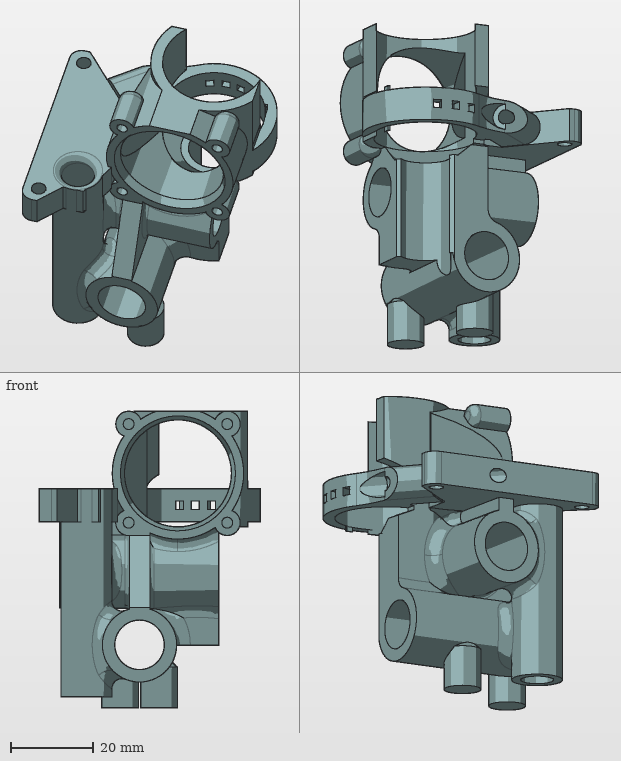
import cadquery as cq
import math

TOP_Z = 72.25
THROUGH = 60.0

PLATE_BOTTOM = 45.3
PLATE_TOP = 53.4
PLATE_THICKNESS = PLATE_TOP - PLATE_BOTTOM
PLATE_LENGTH = 48.85
PLATE_CORNER_RADIUS = 3.0
PLATE_HOLE_INSET = 3.8
PLATE_HOLE_DIAMETER = 3.5
PLATE_STEP_Y = 35.4
PLATE_FRONT_Y = 5.8
PLATE_INNER_X = 19.1
PLATE_OVERLAP = 1.0
PLATE_POST_REACH = 3.0

ROD_DIAMETER = 12.0
ROD_TUBE_DIAMETER = 18.1
TUBE_RADIUS = ROD_TUBE_DIAMETER / 2
ROD_TUBE_START = 5.0
ROD_CENTRE = 24.45
LOW_ROD_Z = 15.35
HIGH_ROD_Z = 33.3

POST_X = 11.5
POST_Y = 11.85
POST_DIAMETER = 12.4
POST_BORE = 8.0
POST_BOTTOM = 2.7
POST_MOUTH_RADIUS = 2.0

BARREL_X = 38.49
BARREL_Y = 38.51
BARREL_RADIUS = 15.4
BARREL_BORE = 25.0
BARREL_BOTTOM = 15.2
WALL = BARREL_RADIUS - BARREL_BORE / 2
UPPER_CUT_X = 12.3
UPPER_CUT_Y = 8.35
LOWER_CUT = 5.25
ROD_TUBE_END = BARREL_X + LOWER_CUT
SEAT_DIAMETER = 16.2
SEAT_BORE = 12.4
FUNNEL_TOP = 44.1
FUNNEL_DEPTH = (BARREL_BORE - SEAT_DIAMETER) / 2
SHELL_SLOPE_Y = 39.8
SHELL_SLOPE_TOP = 56.8
RIM_SLOPE_Y = 39.5
RIM_TOP = 44.4
RIM_LOW_Y = 43.8
RIM_LOW = 42.7
ANCHOR_TOP = 55.3
ANCHOR_END_X = 50.8
ANCHOR_END_Y = 42.7

HOUSING_X = 33.8
HOUSING_Z = 57.1
HOUSING_RADIUS = 16.0
HOUSING_FRONT = 15.0
HOUSING_BACK = 35.1
HOUSING_BORE = 26.0
HOUSING_MOUTH = 28.0
MOUTH_DEPTH = 2.0
FLANK_START = (17.6, 17.0)
FLANK_ANGLE = 16.8
SCREW_OFFSET = 12.0
SCREW_BOSS_DIAMETER = 6.3
SCREW_HOLE_DIAMETER = 2.65
SCREW_HOLE_DEPTH = 8.0
SCREW_BOSS_LENGTH = 10.4
SCREW_BOSS_ROUND = 1.9
SCREW_CENTRES = [
    (HOUSING_X + side * SCREW_OFFSET, HOUSING_Z + level * SCREW_OFFSET)
    for side in (-1, 1)
    for level in (-1, 1)
]

CLAMP_ANGLE = 40.8
CLAMP_SLOPE = math.tan(math.radians(CLAMP_ANGLE))
CLAMP_COSINE = math.cos(math.radians(CLAMP_ANGLE))
CLAMP_AXIS_Y = 29.8
CLAMP_Z = (PLATE_BOTTOM + PLATE_TOP) / 2
SLIT_NEAR = 15.75
SLIT_FAR = 16.3
LUG_INNER = 6.0
LUG_END = 32.0
STRAP_BLEND_START = (22.1, PLATE_LENGTH)
STRAP_BLEND_MIDDLE = (26.2, 49.85)
STRAP_BLEND_END_X = -7.9
CLAMP_HOLE_DIAMETER = 3.5
CLAMP_HOLE_START = -5.0
CLAMP_HOLE_END = 40.0
CLAMP_HEAD_DIAMETER = 6.3
CLAMP_HEAD_START = 29.0
CLAMP_HEAD_END = 45.0
WINDOW_SIZE = 2.0
WINDOW_PITCH = 18.0
WINDOW_TURN = 2.0
WINDOW_INNER = 10.0
WINDOW_OUTER = 18.0

PEG_DIAMETER = 9.0
PEG_HEIGHT = 9.9
PEG_TIP = 2.0
PEG_CENTRES = [(29.2, 9.75), (19.7, 28.1)]

FRONT_RIB_WIDTH = 5.0
FRONT_RIB_TOP = 45.0
FRONT_RIB_SHOULDER = HOUSING_Z - SCREW_OFFSET - SCREW_BOSS_DIAMETER / 2
SIDE_RIB_WIDTH = 4.1
RIB_END = 24.0

ROD_BLEND = 6.0
POST_BLEND = 2.5
BARREL_BLEND = 3.0
HOUSING_BLEND = 2.0
RIB_BLEND = 1.0


def cylinder_x(radius, x0, x1, y, z):
    return cq.Workplane("YZ", origin=(x0, y, z)).circle(radius).extrude(x1 - x0)


def cylinder_y(radius, y0, y1, x, z):
    return cq.Workplane("XZ", origin=(x, y0, z)).circle(radius).extrude(y0 - y1)


def cylinder_z(radius, z0, z1, x, y):
    return cq.Workplane("XY", origin=(x, y, z0)).circle(radius).extrude(z1 - z0)


def block(x0, x1, y0, y1, z0, z1):
    return cq.Workplane("XY").box(x1 - x0, y1 - y0, z1 - z0, centered=False).translate((x0, y0, z0))


def flank_side(offset):
    """Space on the +X side of the slanted flank, moved inward by offset."""
    size = 100
    space = block(0, size, -size, size, 0, size)
    space = space.translate((offset, 0, 0)).rotate((0, 0, 0), (0, 0, 1), -FLANK_ANGLE)
    return space.translate((FLANK_START[0], FLANK_START[1], 0))


def clamp_frame(shape):
    """Place a shape built along +X from the origin onto the clamp screw axis."""
    shape = shape.rotate((0, 0, 0), (0, 0, 1), CLAMP_ANGLE)
    return shape.translate((0, CLAMP_AXIS_Y, 0))


def slit_x(y):
    """X of the plate's slit edge, square to the clamp screw."""
    return SLIT_NEAR / CLAMP_COSINE - (y - CLAMP_AXIS_Y) * CLAMP_SLOPE


def plate():
    r = PLATE_CORNER_RADIUS
    end_x = slit_x(PLATE_LENGTH)
    return (
        cq.Workplane("XY", origin=(0, 0, PLATE_BOTTOM))
        .moveTo(0, r)
        .lineTo(0, PLATE_LENGTH - r)
        .tangentArcPoint((r, PLATE_LENGTH), relative=False)
        .lineTo(end_x, PLATE_LENGTH)
        .lineTo(slit_x(PLATE_STEP_Y), PLATE_STEP_Y)
        .lineTo(BARREL_X - BARREL_RADIUS + PLATE_OVERLAP, PLATE_STEP_Y)
        .lineTo(PLATE_INNER_X, HOUSING_FRONT)
        .lineTo(POST_X + POST_DIAMETER / 2, POST_Y)
        .lineTo(POST_X + PLATE_POST_REACH, PLATE_FRONT_Y)
        .lineTo(end_x + PLATE_FRONT_Y * CLAMP_SLOPE, PLATE_FRONT_Y)
        .lineTo(end_x, 0)
        .lineTo(r, 0)
        .tangentArcPoint((0, r), relative=False)
        .close()
        .extrude(PLATE_THICKNESS)
    )


def strap():
    """Strap around the barrel with its half-round clamp lug."""
    ring = cylinder_z(BARREL_RADIUS, PLATE_BOTTOM, PLATE_TOP, BARREL_X, BARREL_Y)
    lug = block(SLIT_FAR, LUG_END, -LUG_INNER, 0, PLATE_BOTTOM, PLATE_TOP)
    lug = clamp_frame(lug.union(cylinder_x(PLATE_THICKNESS / 2, SLIT_FAR, LUG_END, 0, CLAMP_Z)))
    start_x = STRAP_BLEND_START[0]
    lug = lug.intersect(block(0, start_x, 0, PLATE_LENGTH, 0, TOP_Z))
    blend_end = (
        BARREL_X + STRAP_BLEND_END_X,
        BARREL_Y + math.sqrt(BARREL_RADIUS**2 - STRAP_BLEND_END_X**2),
    )
    inner_y = CLAMP_AXIS_Y + start_x * CLAMP_SLOPE - LUG_INNER / CLAMP_COSINE
    blend = (
        cq.Workplane("XY", origin=(0, 0, PLATE_BOTTOM))
        .moveTo(*STRAP_BLEND_START)
        .threePointArc(STRAP_BLEND_MIDDLE, blend_end)
        .lineTo(BARREL_X, BARREL_Y)
        .lineTo(start_x, inner_y)
        .close()
        .extrude(PLATE_THICKNESS)
    )
    return ring.union(lug).union(blend)


def strap_anchor():
    """Wall that ties the strap to the +X side of the barrel."""
    wall = cylinder_z(BARREL_RADIUS, FUNNEL_TOP, ANCHOR_TOP, BARREL_X, BARREL_Y)
    return wall.intersect(block(BARREL_X, ANCHOR_END_X, 0, ANCHOR_END_Y, 0, TOP_Z))


def upper_shell():
    """Barrel wall beside the housing, open at the rear corner and free of the strap there."""
    shell = cylinder_z(BARREL_RADIUS, FUNNEL_TOP, TOP_Z, BARREL_X, BARREL_Y)
    rear = BARREL_Y + UPPER_CUT_Y
    keep = block(0, BARREL_X, 0, rear, 0, TOP_Z)
    keep = keep.union(block(0, BARREL_X + UPPER_CUT_X, 0, BARREL_Y, 0, TOP_Z))
    strap_gap = (
        cq.Workplane("YZ")
        .moveTo(rear, SHELL_SLOPE_TOP)
        .lineTo(SHELL_SLOPE_Y, PLATE_TOP)
        .lineTo(SHELL_SLOPE_Y, 0)
        .lineTo(THROUGH, 0)
        .lineTo(THROUGH, SHELL_SLOPE_TOP)
        .close()
        .extrude(BARREL_X)
    )
    return shell.intersect(keep).cut(strap_gap)


def merged(first, second, radius):
    """Join two bodies and round the curve where their surfaces meet."""
    body = first.union(second)
    plain = ("LINE", "CIRCLE", "ELLIPSE")
    seam = [edge for edge in body.edges().vals() if edge.geomType() not in plain]
    return cq.Workplane(body.val().fillet(radius, seam))


def front_rib():
    """Rib from the open end of the low tube up to the housing."""
    return (
        cq.Workplane("YZ", origin=(ROD_CENTRE - FRONT_RIB_WIDTH / 2, 0, 0))
        .moveTo(ROD_TUBE_START, LOW_ROD_Z)
        .lineTo(ROD_TUBE_START, LOW_ROD_Z + TUBE_RADIUS)
        .lineTo(HOUSING_FRONT, FRONT_RIB_SHOULDER)
        .lineTo(HOUSING_FRONT, FRONT_RIB_TOP)
        .lineTo(RIB_END, FRONT_RIB_TOP)
        .lineTo(RIB_END, LOW_ROD_Z)
        .close()
        .extrude(FRONT_RIB_WIDTH)
    )


def side_rib():
    """Rib between the high tube and the underside of the plate."""
    half = SIDE_RIB_WIDTH / 2
    return block(ROD_TUBE_START, RIB_END, ROD_CENTRE - half, ROD_CENTRE + half, HIGH_ROD_Z, PLATE_BOTTOM)


def rim_slope():
    """Space above the falling rear rim of the lower barrel."""
    return (
        cq.Workplane("YZ")
        .moveTo(RIM_SLOPE_Y, FUNNEL_TOP + WALL)
        .lineTo(RIM_SLOPE_Y, RIM_TOP)
        .lineTo(RIM_LOW_Y, RIM_LOW)
        .lineTo(THROUGH, RIM_LOW)
        .lineTo(THROUGH, FUNNEL_TOP + WALL)
        .close()
        .extrude(THROUGH)
    )


def lower_body():
    """Rod tubes, post, lower barrel and front rib with their blends."""
    beyond = BARREL_X + BARREL_RADIUS + TUBE_RADIUS
    high = cylinder_x(TUBE_RADIUS, ROD_TUBE_START, beyond, ROD_CENTRE, HIGH_ROD_Z)
    low = cylinder_y(TUBE_RADIUS, ROD_TUBE_START, beyond, ROD_CENTRE, LOW_ROD_Z)
    post = cylinder_z(POST_DIAMETER / 2, POST_BOTTOM, PLATE_TOP, POST_X, POST_Y)
    barrel = cylinder_z(BARREL_RADIUS, -BARREL_BOTTOM, PLATE_BOTTOM, BARREL_X, BARREL_Y)
    house = cylinder_y(HOUSING_RADIUS, HOUSING_FRONT, HOUSING_BACK, HOUSING_X, HOUSING_Z)
    above_floor = block(0, beyond, 0, beyond, BARREL_BOTTOM, TOP_Z)
    under_plate = block(0, beyond, 0, HOUSING_BACK, 0, PLATE_BOTTOM)

    body = merged(high, low, ROD_BLEND)
    body = body.union(merged(high, barrel, BARREL_BLEND).intersect(above_floor))
    body = body.union(merged(low, barrel, BARREL_BLEND).intersect(above_floor))
    body = body.union(merged(high, post, POST_BLEND))
    body = body.union(merged(low, post, POST_BLEND))
    under_house = merged(high, house, HOUSING_BLEND).intersect(under_plate)
    body = body.union(under_house.intersect(flank_side(0)))

    reach = FRONT_RIB_WIDTH / 2 + RIB_BLEND / 2
    rib_zone = cq.selectors.BoxSelector((ROD_CENTRE - reach, 0, 0), (ROD_CENTRE + reach, THROUGH, TOP_Z))
    ribbed = high.union(front_rib())
    body = body.union(ribbed.edges("%CIRCLE").edges(rib_zone).fillet(RIB_BLEND))

    body = body.intersect(block(0, ROD_TUBE_END, 0, ROD_TUBE_END, 0, TOP_Z))
    return body.cut(rim_slope())


def housing():
    """Round housing with a flat top, a slanted flank and four screw bosses."""
    body = cylinder_y(HOUSING_RADIUS, HOUSING_FRONT, HOUSING_BACK, HOUSING_X, HOUSING_Z)
    body = body.intersect(block(0, THROUGH, 0, THROUGH, 0, TOP_Z)).intersect(flank_side(0))
    for x, z in SCREW_CENTRES:
        boss = cylinder_y(SCREW_BOSS_DIAMETER / 2, HOUSING_FRONT, HOUSING_FRONT + SCREW_BOSS_LENGTH, x, z)
        body = body.union(boss.faces(">Y").edges().fillet(SCREW_BOSS_ROUND))
    return body


def peg(x, y):
    stem = cylinder_z(PEG_DIAMETER / 2, 0, PEG_HEIGHT + PEG_TIP, x, y)
    return stem.faces(">Z").edges().chamfer(PEG_TIP)


def funnel():
    """Cone from the barrel bore down to the seat."""
    return (
        cq.Workplane("XZ", origin=(BARREL_X, BARREL_Y, FUNNEL_TOP))
        .moveTo(0, 0)
        .lineTo(BARREL_BORE / 2, 0)
        .lineTo(SEAT_DIAMETER / 2, -FUNNEL_DEPTH)
        .lineTo(0, -FUNNEL_DEPTH)
        .close()
        .revolve(360, (0, 0, 0), (0, 1, 0))
    )


def seat_corner():
    """Rear corner of the lower barrel, cut away diagonally through the barrel axis."""
    diagonal = block(0, THROUGH, -THROUGH, THROUGH, 0, PLATE_BOTTOM).rotate((0, 0, 0), (0, 0, 1), 45)
    diagonal = diagonal.translate((BARREL_X, BARREL_Y, 0))
    return diagonal.intersect(block(0, ROD_TUBE_END, 0, ROD_TUBE_END, 0, PLATE_BOTTOM))


def housing_bore():
    """Housing bore, flattened parallel to the flank."""
    bore = cylinder_y(HOUSING_BORE / 2, HOUSING_FRONT, BARREL_Y, HOUSING_X, HOUSING_Z)
    return bore.intersect(flank_side(WALL))


def housing_mouth():
    """Tapered mouth of the housing bore."""
    return (
        cq.Workplane("XZ", origin=(HOUSING_X, HOUSING_FRONT, HOUSING_Z))
        .circle(HOUSING_MOUTH / 2)
        .workplane(offset=-MOUTH_DEPTH)
        .circle(HOUSING_BORE / 2)
        .loft()
    )


def strap_window(angle):
    """Square radial window through the strap, turned from +Y by angle."""
    half = WINDOW_SIZE / 2
    window = block(-half, half, WINDOW_INNER, WINDOW_OUTER, CLAMP_Z - half, CLAMP_Z + half)
    return window.rotate((0, 0, 0), (0, 0, 1), angle).translate((BARREL_X, BARREL_Y, 0))


def round_post_mouth(body):
    """Round the top edge of the post bore."""
    reach = POST_BORE / 2 + 0.5
    mouth_edge = cq.selectors.BoxSelector(
        (POST_X - reach, POST_Y - reach, PLATE_TOP - 0.5),
        (POST_X + reach, POST_Y + reach, PLATE_TOP + 0.5),
        boundingbox=True,
    )
    return body.edges(mouth_edge).fillet(POST_MOUTH_RADIUS)


part = lower_body()
for solid in (side_rib(), housing(), upper_shell(), plate(), strap(), strap_anchor()):
    part = part.union(solid)
for peg_x, peg_y in PEG_CENTRES:
    part = part.union(peg(peg_x, peg_y))

main_cuts = [
    cylinder_x(ROD_DIAMETER / 2, 0, THROUGH, ROD_CENTRE, HIGH_ROD_Z),
    cylinder_y(ROD_DIAMETER / 2, 0, THROUGH, ROD_CENTRE, LOW_ROD_Z),
    cylinder_z(BARREL_BORE / 2, FUNNEL_TOP, TOP_Z, BARREL_X, BARREL_Y),
    funnel(),
    seat_corner(),
    cylinder_z(SEAT_BORE / 2, 0, FUNNEL_TOP, BARREL_X, BARREL_Y),
    housing_bore(),
    housing_mouth(),
]
main_cuts += [
    cylinder_y(SCREW_HOLE_DIAMETER / 2, HOUSING_FRONT, HOUSING_FRONT + SCREW_HOLE_DEPTH, x, z)
    for x, z in SCREW_CENTRES
]
main_cuts.append(cylinder_z(POST_BORE / 2, 0, TOP_Z, POST_X, POST_Y))
for cut in main_cuts:
    part = part.cut(cut)
part = round_post_mouth(part)

plate_cuts = [
    cylinder_z(PLATE_HOLE_DIAMETER / 2, PLATE_BOTTOM, PLATE_TOP, PLATE_HOLE_INSET, y)
    for y in (PLATE_HOLE_INSET, PLATE_LENGTH - PLATE_HOLE_INSET)
]
plate_cuts += [
    clamp_frame(cylinder_x(CLAMP_HOLE_DIAMETER / 2, CLAMP_HOLE_START, CLAMP_HOLE_END, 0, CLAMP_Z)),
    clamp_frame(cylinder_x(CLAMP_HEAD_DIAMETER / 2, CLAMP_HEAD_START, CLAMP_HEAD_END, 0, CLAMP_Z)),
]
plate_cuts += [strap_window(WINDOW_TURN + step * WINDOW_PITCH) for step in (-1, 0, 1)]
for cut in plate_cuts:
    part = part.cut(cut)

result = part